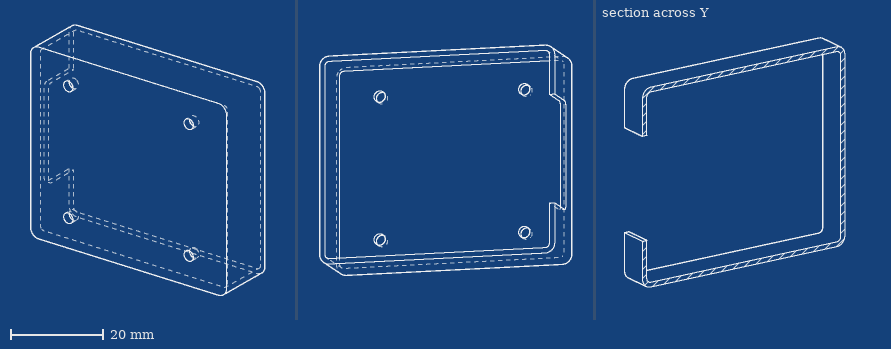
import cadquery as cq

width = 52.9
height = 45.9
depth = 14.0
corner_radius = 2.2
wall = 1.2
floor_thickness = 2.0

hole_diameter = 2.5
hole_spacing_x = 32.5
hole_spacing_z = 31.5

notch_height = 24.0
notch_depth = 9.0
notch_corner_radius = 1.0


def rounded_block(size_x, size_z, radius, y_start, y_end):
    """Block centred on X and Z, with rounded edges along Y."""
    length = y_end - y_start
    block = cq.Workplane("XY").box(size_x, length, size_z).edges("|Y").fillet(radius)
    return block.translate((0, y_start + length / 2, 0))


def make_shell():
    outer = rounded_block(width, height, corner_radius, 0, depth)
    cavity = rounded_block(
        width - 2 * wall,
        height - 2 * wall,
        corner_radius - wall,
        floor_thickness,
        depth,
    )
    return outer.cut(cavity)


def make_mounting_holes():
    """Four pins running back from the front face, to be cut from the floor."""
    return (
        cq.Workplane("XZ")
        .rect(hole_spacing_x, hole_spacing_z, forConstruction=True)
        .vertices()
        .circle(hole_diameter / 2)
        .extrude(-floor_thickness)
    )


def make_notch():
    """Cutter for the side notch, spanning just the -X wall, with rounded inner corners."""
    return (
        cq.Workplane("XY")
        .box(wall, notch_depth, notch_height)
        .edges("|X and <Y")
        .fillet(notch_corner_radius)
        .translate((-(width - wall) / 2, depth - notch_depth / 2, 0))
    )


result = make_shell().cut(make_mounting_holes()).cut(make_notch())